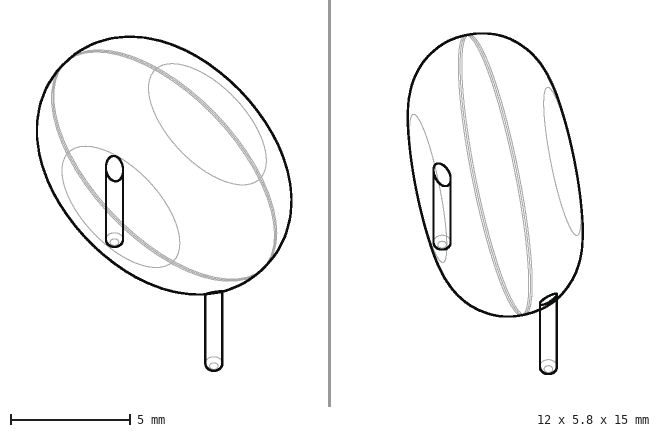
import cadquery as cq

body_diameter = 12.0
body_thickness = 5.8
edge_radius = 2.83

overall_height = 15.03
lead_diameter = 0.72
lead_spacing_x = 7.5
lead_spacing_y = 2.69
tip_radius = 0.18

body_radius = body_diameter / 2
lead_bottom = body_radius - overall_height
lead_top = -body_radius / 4


def make_body():
    disc = cq.Workplane("XZ").circle(body_radius).extrude(body_thickness / 2, both=True)
    return disc.edges().fillet(edge_radius)


def make_lead(x, y):
    lead = (
        cq.Workplane("XY", origin=(x, y, lead_bottom))
        .circle(lead_diameter / 2)
        .extrude(lead_top - lead_bottom)
    )
    return lead.faces("<Z").edges().fillet(tip_radius)


result = make_body()
for side in (-1, 1):
    result = result.union(make_lead(side * lead_spacing_x / 2, -side * lead_spacing_y / 2))